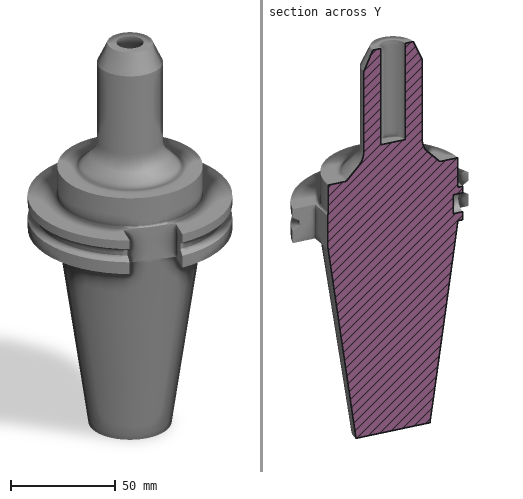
import cadquery as cq
import math

total_height = 203.2
gauge_height = 102.2
flange_bottom = 103.5
flange_top = 121.3
collar_top = 137.0

taper_ratio = 7 / 24
gauge_radius = 35.0
taper_end_radius = gauge_radius - gauge_height * taper_ratio / 2
collar_radius = 35.0
collar_fillet = 0.8

flange_radius = 49.2
groove_radius = 45.5
groove_bottom = 109.7
groove_floor_bottom = 111.5
groove_floor_top = 114.6
groove_top = 116.8

nose_radius = 15.8
nose_tip_radius = 11.0
nose_tip_length = 10.4
blend_start = 150.5
blend_radius = 10.2
foot_fillet = 1.6

slot_width = 26.2
left_slot_floor = 37.5
right_slot_floor = 35.4
bore_radius = 6.5
bore_depth = 50.8
side_hole_radius = 4.9
side_hole_height = 112.8
side_hole_depth = 5.0

SIN_45 = math.sin(math.radians(45))
SIN_22 = math.sin(math.radians(22.5))
COS_22 = math.cos(math.radians(22.5))


def revolved_body():
    """Taper, flange, collar and nose as one turned profile."""
    blend_center_r = nose_radius + blend_radius
    blend_end_r = blend_center_r - blend_radius * SIN_45
    blend_end_z = blend_start - blend_radius * SIN_45

    foot_center_z = collar_top + foot_fillet
    cone_end_z = foot_center_z - foot_fillet * SIN_45
    cone_end_r = blend_end_r + blend_end_z - cone_end_z
    foot_center_r = cone_end_r + foot_fillet * SIN_45

    collar_center_r = collar_radius + collar_fillet
    collar_center_z = flange_top + collar_fillet

    profile = (
        cq.Workplane("XZ")
        .lineTo(taper_end_radius, 0)
        .lineTo(gauge_radius, gauge_height)
        .lineTo(gauge_radius, flange_bottom)
        .lineTo(flange_radius, flange_bottom)
        .lineTo(flange_radius, groove_bottom)
        .lineTo(groove_radius, groove_floor_bottom)
        .lineTo(groove_radius, groove_floor_top)
        .lineTo(flange_radius, groove_top)
        .lineTo(flange_radius, flange_top)
        .lineTo(collar_center_r, flange_top)
        .threePointArc(
            (collar_center_r - collar_fillet * SIN_45, collar_center_z - collar_fillet * SIN_45),
            (collar_radius, collar_center_z),
        )
        .lineTo(collar_radius, collar_top)
        .lineTo(foot_center_r, collar_top)
        .threePointArc(
            (foot_center_r - foot_fillet * SIN_22, foot_center_z - foot_fillet * COS_22),
            (cone_end_r, cone_end_z),
        )
        .lineTo(blend_end_r, blend_end_z)
        .threePointArc(
            (blend_center_r - blend_radius * COS_22, blend_start - blend_radius * SIN_22),
            (nose_radius, blend_start),
        )
        .lineTo(nose_radius, total_height - nose_tip_length)
        .lineTo(nose_tip_radius, total_height)
        .lineTo(0, total_height)
        .close()
    )
    return profile.revolve(360, (0, 0, 0), (0, 1, 0))


def drive_slot(side, floor):
    """Cutter for a flat-floored slot through the flange; side is -1 or 1 along X."""
    return (
        cq.Workplane("XY")
        .workplane(offset=flange_bottom)
        .center(side * (floor + flange_radius / 2), 0)
        .rect(flange_radius, slot_width)
        .extrude(flange_top - flange_bottom)
    )


def nose_bore():
    """Cutter for the blind axial bore in the nose."""
    return (
        cq.Workplane("XY")
        .workplane(offset=total_height - bore_depth)
        .circle(bore_radius)
        .extrude(bore_depth)
    )


def side_hole():
    """Cutter for the blind radial hole in the floor of the -X slot."""
    return (
        cq.Workplane("YZ")
        .workplane(offset=-left_slot_floor)
        .center(0, side_hole_height)
        .circle(side_hole_radius)
        .extrude(side_hole_depth)
    )


result = (
    revolved_body()
    .cut(drive_slot(-1, left_slot_floor))
    .cut(drive_slot(1, right_slot_floor))
    .cut(nose_bore())
    .cut(side_hole())
)